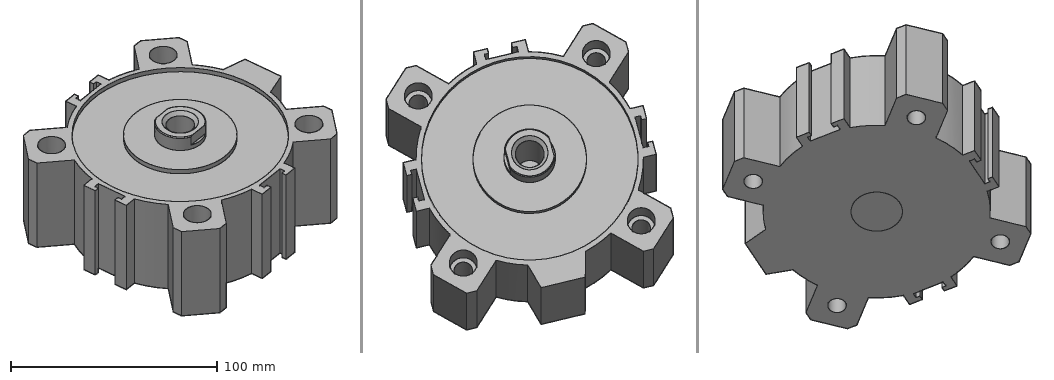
import cadquery as cq
import math

HOUSING_HEIGHT = 52.0
BARREL_DIAMETER = 110.1
SQUARE_SIDE = 120.0
SQUARE_HALF = SQUARE_SIDE / 2

RECESS_DIAMETER = 105.0
RECESS_DEPTH = 2.5
COLLAR_DIAMETER = 55.0

EAR_WIDTH = 26.0
EAR_REACH = 75.5
EAR_ANGLES = (45, 135, 225, 315)
HOLE_OFFSET = 44.5
HOLE_RADIUS = HOLE_OFFSET * math.sqrt(2)
HOLE_DIAMETER = 9.0
COUNTERBORE_DIAMETER = 13.5
COUNTERBORE_DEPTH = 11.0

RAIL_ANGLES = (180, 270, 0)
RAIL_WIDTH = EAR_WIDTH
SLOT_MOUTH_WIDTH = 12.0
SLOT_INNER_WIDTH = 16.3
SLOT_DEPTH = 5.3
SLOT_LIP = 2.5

TOTAL_LENGTH_Y = 126
BOSS_REACH = TOTAL_LENGTH_Y - SQUARE_HALF
BOSS_TIP_WIDTH = 22.0
BOSS_FLANK_ANGLE = 15

ROD_DIAMETER = 25.0
ROD_TOP = 60.0
ROD_CHAMFER = 0.5
FLAT_SPACING = 22.0
FLAT_HEIGHT = 5.5
ROD_HOLE_DIAMETER = 13.9
ROD_HOLE_MOUTH_DIAMETER = 17.6
ROD_HOLE_DEPTH = 30.0


def cylinder(diameter, bottom, top):
    """Upright cylinder on the Z axis."""
    return cq.Workplane("XY").workplane(offset=bottom).circle(diameter / 2).extrude(top - bottom)


def block(x_start, x_end, width):
    """Full-height block along +X, centred on Y = 0."""
    return cq.Workplane("XY").box(
        x_end - x_start, width, HOUSING_HEIGHT, centered=(False, True, False)
    ).translate((x_start, 0, 0))


def turned(shape, angle):
    """The shape turned about the Z axis."""
    return shape.rotate((0, 0, 0), (0, 0, 1), angle)


def make_ears():
    """Four diagonal arms, with their corners cut off by the bounding square."""
    arm = block(0, EAR_REACH, EAR_WIDTH)
    ears = cq.Workplane("XY")
    for angle in EAR_ANGLES:
        ears = ears.add(turned(arm, angle))
    square = cq.Workplane("XY").rect(SQUARE_SIDE, SQUARE_SIDE).extrude(HOUSING_HEIGHT)
    return ears.combine().intersect(square)


def make_slot():
    """T-slot that opens in the +X direction."""
    floor = SQUARE_HALF - SLOT_DEPTH
    mouth = block(floor, SQUARE_HALF, SLOT_MOUTH_WIDTH)
    return mouth.union(block(floor, SQUARE_HALF - SLOT_LIP, SLOT_INNER_WIDTH))


def make_port_boss():
    """Trapezoid that widens from its tip toward the axis."""
    root = RECESS_DIAMETER / 2
    tip_half = BOSS_TIP_WIDTH / 2
    root_half = tip_half + (BOSS_REACH - root) * math.tan(math.radians(BOSS_FLANK_ANGLE))
    outline = [(-root_half, root), (root_half, root), (tip_half, BOSS_REACH), (-tip_half, BOSS_REACH)]
    return cq.Workplane("XY").polyline(outline).close().extrude(HOUSING_HEIGHT)


def make_mounting_hole():
    """Through hole with a counterbore in the top face, on the +X side of the axis."""
    counterbore_floor = HOUSING_HEIGHT - COUNTERBORE_DEPTH
    hole = cylinder(HOLE_DIAMETER, 0, HOUSING_HEIGHT)
    hole = hole.union(cylinder(COUNTERBORE_DIAMETER, counterbore_floor, HOUSING_HEIGHT))
    return hole.translate((HOLE_RADIUS, 0, 0))


def make_ring_recess():
    floor = HOUSING_HEIGHT - RECESS_DEPTH
    recess = cylinder(RECESS_DIAMETER, floor, HOUSING_HEIGHT)
    return recess.cut(cylinder(COLLAR_DIAMETER, floor, HOUSING_HEIGHT))


def make_housing():
    """Barrel with ears, port boss and rails, bored through for the rod."""
    housing = cylinder(BARREL_DIAMETER, 0, HOUSING_HEIGHT)
    housing = housing.union(make_ears()).union(make_port_boss())
    for angle in RAIL_ANGLES:
        housing = housing.union(turned(block(0, SQUARE_HALF, RAIL_WIDTH), angle))
        housing = housing.cut(turned(make_slot(), angle))

    housing = housing.cut(make_ring_recess())
    for angle in EAR_ANGLES:
        housing = housing.cut(turned(make_mounting_hole(), angle))
    return housing.cut(cylinder(ROD_DIAMETER, 0, HOUSING_HEIGHT))


def make_rod_flats():
    """Material outside the two wrench flats, which face -X and +X."""
    flat_floor = ROD_TOP - FLAT_HEIGHT
    between_flats = (
        cq.Workplane("XY").workplane(offset=flat_floor).rect(FLAT_SPACING, ROD_DIAMETER).extrude(FLAT_HEIGHT)
    )
    return cylinder(ROD_DIAMETER, flat_floor, ROD_TOP).cut(between_flats)


def make_rod():
    """Rod with a chamfered top edge and a blind hole whose mouth has a 45 degree chamfer."""
    radius = ROD_DIAMETER / 2
    hole_radius = ROD_HOLE_DIAMETER / 2
    mouth_radius = ROD_HOLE_MOUTH_DIAMETER / 2
    hole_floor = ROD_TOP - ROD_HOLE_DEPTH
    half_section = [
        (0, 0),
        (radius, 0),
        (radius, ROD_TOP - ROD_CHAMFER),
        (radius - ROD_CHAMFER, ROD_TOP),
        (mouth_radius, ROD_TOP),
        (hole_radius, ROD_TOP - (mouth_radius - hole_radius)),
        (hole_radius, hole_floor),
        (0, hole_floor),
    ]
    rod = cq.Workplane("XZ").polyline(half_section).close().revolve(360, (0, 0), (0, 1))
    return rod.cut(make_rod_flats())


housing = make_housing()
rod = make_rod()
result = cq.Compound.makeCompound([housing.val(), rod.val()])